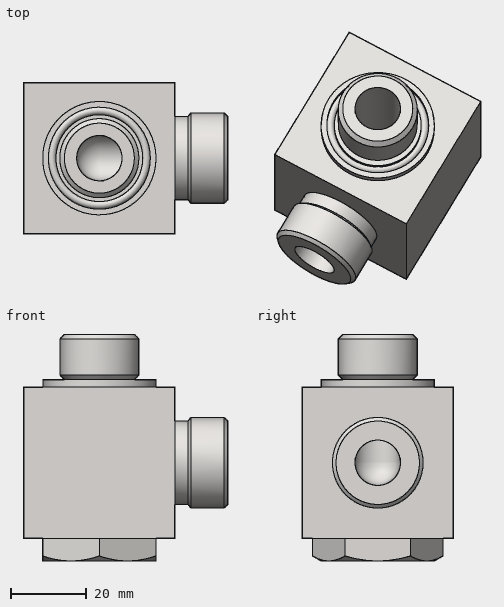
import cadquery as cq
import math

body_side = 40.0
half_side = body_side / 2

port_length = 14.0
collar_diameter = 30
collar_height = 2.0
stud_diameter = 20.95
stud_chamfer = 1.2
seal_inner_diameter = 23.0
seal_outer_diameter = 27

neck_diameter = 22.15
neck_length = 3.5
thread_diameter = 24
thread_chamfer = 0.95
undercut_chamfer_length = 0.7

hex_height = 6
hex_across_flats = 30
hex_chamfer_angle = 30

bore_diameter = 12


def make_stud():
    """Collar and stud as one turned profile (radius, height), with a rounded seal ring."""
    stud_radius = stud_diameter / 2
    end_radius = stud_radius - stud_chamfer
    collar_top = half_side + collar_height
    stud_top = half_side + port_length
    seal_inner = seal_inner_diameter / 2
    seal_outer = seal_outer_diameter / 2
    seal_radius = (seal_outer - seal_inner) / 2
    seal_middle = collar_top - seal_radius
    return (
        cq.Workplane("XZ")
        .moveTo(0, half_side)
        .lineTo(collar_diameter / 2, half_side)
        .lineTo(collar_diameter / 2, collar_top)
        .lineTo(seal_outer, collar_top)
        .lineTo(seal_outer, seal_middle)
        .threePointArc((seal_inner + seal_radius, collar_top), (seal_inner, seal_middle))
        .lineTo(seal_inner, collar_top)
        .lineTo(end_radius, collar_top)
        .lineTo(stud_radius, collar_top + stud_chamfer)
        .lineTo(stud_radius, stud_top - stud_chamfer)
        .lineTo(end_radius, stud_top)
        .lineTo(0, stud_top)
        .close()
        .revolve(360, (0, 0, 0), (0, 1, 0))
    )


def make_side_port():
    """Neck and threaded end turned about the X axis."""
    neck_radius = neck_diameter / 2
    thread_radius = thread_diameter / 2
    neck_end = half_side + neck_length
    port_end = half_side + port_length
    return (
        cq.Workplane("XY")
        .moveTo(half_side, 0)
        .lineTo(half_side, neck_radius)
        .lineTo(neck_end, neck_radius)
        .lineTo(neck_end + undercut_chamfer_length, thread_radius)
        .lineTo(port_end - thread_chamfer, thread_radius)
        .lineTo(port_end, thread_radius - thread_chamfer)
        .lineTo(port_end, 0)
        .close()
        .revolve(360, (0, 0, 0), (1, 0, 0))
    )


def make_hex_head():
    """Hexagon with flats facing +X and -X, its lower corners trimmed by a cone."""
    across_corners = hex_across_flats / math.cos(math.radians(30))
    head_bottom = -half_side - hex_height
    cone_slope = math.tan(math.radians(hex_chamfer_angle))
    flat_radius = hex_across_flats / 2
    head = (
        cq.Workplane("XY")
        .workplane(offset=head_bottom)
        .transformed(rotate=(0, 0, 90))
        .polygon(6, across_corners)
        .extrude(hex_height)
    )
    cone_top_radius = flat_radius + hex_height / cone_slope
    cone = (
        cq.Workplane("XZ")
        .moveTo(0, head_bottom)
        .lineTo(flat_radius, head_bottom)
        .lineTo(cone_top_radius, -half_side)
        .lineTo(0, -half_side)
        .close()
        .revolve(360, (0, 0, 0), (0, 1, 0))
    )
    return head.intersect(cone)


def make_bores():
    """Vertical and sideways passages that meet in a spherical end at the body centre."""
    bore_radius = bore_diameter / 2
    bore_length = half_side + port_length
    vertical = cq.Workplane("XY").circle(bore_radius).extrude(bore_length)
    sideways = cq.Workplane("YZ").circle(bore_radius).extrude(bore_length)
    return vertical.union(sideways).union(cq.Workplane("XY").sphere(bore_radius))


body = cq.Workplane("XY").box(body_side, body_side, body_side)
solid_part = body.union(make_stud()).union(make_side_port()).union(make_hex_head())
result = solid_part.cut(make_bores())